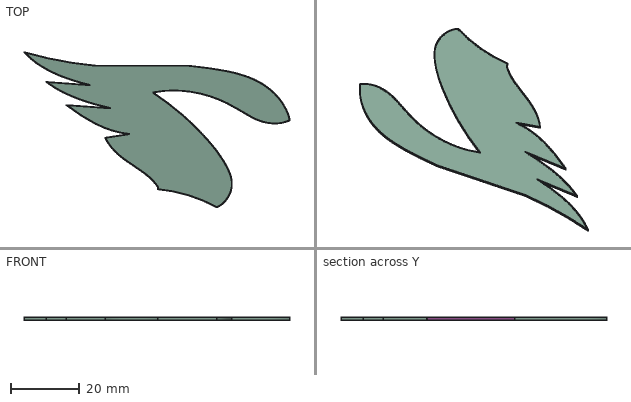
import cadquery as cq

length = 78.15
width = 45.65
thickness = 1.0

top_edge_y = 41.65
top_edge_start_x = 21.1
top_edge_end_x = 48.45

upper_tip = (0, width)
second_tip = (6.5, 36.9)
third_tip = (12.4, 30.1)
lower_tip = (23.8, 20.5)
first_notch = (19.3, 35.95)
second_notch = (25.4, 29.15)
third_notch = (30.95, 21.6)
step_x = 39.3
step_top = (step_x, 6.0)
step_bottom = (step_x, 5.3)
lobe_tip = (56.65, 0)
crotch = (37.9, 33.75)
arm_tip = (length, 25.6)

feather_one = [(4.1, 42.1), (11.1, 38.45)]
feather_two = [(11.1, 34.0), (18.1, 31.1)]
feather_three = [(16.7, 27.05), (23.8, 23.3)]
lower_edge = [(25.6, 17.7), (30.5, 13.4), (36.5, 9.15)]
lobe_underside_middle = (48.15, 3.6)
lobe_outer_edge = [(60.2, 3.35), (61.1, 6.65), (59.55, 12.0), (53.45, 20.4), (46.3, 27.4)]
arm_inner_edge = [(45.0, 34.3), (53.45, 33.0), (61.9, 29.4), (67.6, 26.1), (73.5, 24.6)]
arm_outer_edge = [(75.8, 30.9), (70.3, 36.1), (61.9, 39.55)]
upper_edge_middle = (9.7, 43.3)

outline = (
    cq.Workplane("XY")
    .moveTo(*upper_tip)
    .spline(feather_one + [first_notch], includeCurrent=True)
    .lineTo(*second_tip)
    .spline(feather_two + [second_notch], includeCurrent=True)
    .lineTo(*third_tip)
    .spline(feather_three + [third_notch], includeCurrent=True)
    .lineTo(*lower_tip)
    .spline(lower_edge + [step_top], includeCurrent=True)
    .lineTo(*step_bottom)
    .threePointArc(lobe_underside_middle, lobe_tip)
    .spline(lobe_outer_edge + [crotch], includeCurrent=True)
    .spline(arm_inner_edge + [arm_tip], includeCurrent=True)
    .spline(arm_outer_edge + [(top_edge_end_x, top_edge_y)], includeCurrent=True)
    .lineTo(top_edge_start_x, top_edge_y)
    .threePointArc(upper_edge_middle, upper_tip)
    .close()
)

result = outline.extrude(thickness)